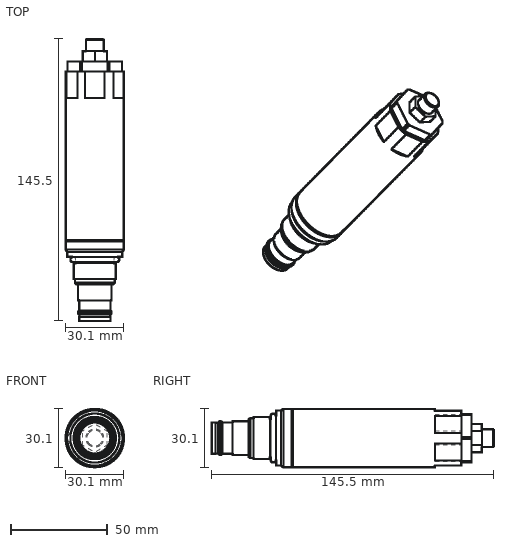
import cadquery as cq
import math

total_length = 145.5

barrel_radius = 15.06
barrel_start = 37.0
barrel_end = 128.8
barrel_groove_start = 41.0
barrel_groove_end = 41.9
barrel_groove_radius = 14.8

flats_start = 115.1
flats_across = 28.4
minus_x_flat_tilt = 33.8
flat_angles = [90, -90, 30, -30, 180 - minus_x_flat_tilt, minus_x_flat_tilt - 180]

collar_radius = 14.3
collar_start = 33.2
collar_end = 35.8

neck_radius = 10.9
neck_start = 21.7
shoulder_radius = 10.3
shoulder_start = 20.0
shoulder_cone_radius = 9.5
shoulder_cone_start = 18.9
shank_radius = 8.7
shank_start = 10.8
tip_radius = 8.2
tip_land_end = 2.0
tip_relief_radius = 8.0

bead_radius = 8.7
bead_start = 3.3
bead_crest_start = 4.2
bead_crest_end = 4.7
bead_end = 5.5

hex_sides = 6

cap_end = 134.0
cap_across_flats = 25.0
cap_corner_radius = 14.1

small_hex_end = 139.3
small_hex_across_flats = 12.7
connector_radius = 4.7
connector_chamfer = 0.6

ring_groove_radius = 9.9
ring_groove_start = 30.0
ring_section_radius = 1.38
ring_center_radius = ring_groove_radius + ring_section_radius
ring_center_y = collar_start - ring_section_radius


def cylinder(radius, start, end):
    """Solid cylinder on the Y axis from start to end."""
    return cq.Workplane("XZ", origin=(0, start, 0)).circle(radius).extrude(start - end)


def hexagon(across_flats, start, end, turn=0):
    """Hexagonal prism on the Y axis; with no turn, two flats face +Z and -Z."""
    corner_diameter = across_flats / math.cos(math.pi / hex_sides)
    prism = cq.Workplane("XZ", origin=(0, start, 0)).polygon(hex_sides, corner_diameter).extrude(start - end)
    return prism.rotate((0, 0, 0), (0, 1, 0), turn)


def make_turned_blank():
    """Stepped nose, collar and barrel revolved as one profile of radius and Y."""
    outline = [
        (0, 0),
        (tip_radius, 0),
        (tip_radius, tip_land_end),
        (tip_relief_radius, tip_land_end),
        (tip_relief_radius, bead_start),
        (bead_radius, bead_crest_start),
        (bead_radius, bead_crest_end),
        (tip_radius, bead_end),
        (tip_radius, shank_start),
        (shank_radius, shank_start),
        (shank_radius, shoulder_cone_start),
        (shoulder_cone_radius, shoulder_cone_start),
        (shoulder_radius, shoulder_start),
        (shoulder_radius, neck_start),
        (neck_radius, neck_start),
        (neck_radius, ring_groove_start),
        (ring_groove_radius, ring_groove_start),
        (ring_groove_radius, collar_start),
        (collar_radius, collar_start),
        (collar_radius, collar_end),
        (barrel_radius, barrel_start),
        (barrel_radius, barrel_groove_start),
        (barrel_groove_radius, barrel_groove_start),
        (barrel_groove_radius, barrel_groove_end),
        (barrel_radius, barrel_groove_end),
        (barrel_radius, barrel_end),
        (0, barrel_end),
    ]
    return cq.Workplane("XY").polyline(outline).close().revolve(360, (0, 0, 0), (0, 1, 0))


def make_flat_cutter(angle):
    """Block outside one wrench flat, whose outward normal is at the given angle."""
    width = 2 * barrel_radius
    length = barrel_end - flats_start
    block = cq.Workplane("XY").box(barrel_radius, length, width, centered=(False, False, True))
    return block.translate((flats_across / 2, flats_start, 0)).rotate((0, 0, 0), (0, 1, 0), -angle)


def make_end_cap():
    """Hexagonal cap with its corners turned down to a cylinder."""
    prism = hexagon(cap_across_flats, barrel_end, cap_end)
    return prism.intersect(cylinder(cap_corner_radius, barrel_end, cap_end))


def make_connector():
    """Small hexagon, turned so its corners point along Z, with a round chamfered plug."""
    small_hex = hexagon(small_hex_across_flats, cap_end, small_hex_end, turn=180 / hex_sides)
    plug = cylinder(connector_radius, small_hex_end, total_length)
    return small_hex.union(plug.faces(">Y").chamfer(connector_chamfer))


def make_seal_ring():
    """Round-section ring on the Y axis, resting on the groove floor and the collar face."""
    section = cq.Workplane("XY").center(ring_center_radius, ring_center_y).circle(ring_section_radius)
    return section.revolve(360, (-ring_center_radius, 0, 0), (-ring_center_radius, 1, 0))


def make_housing():
    """Housing in one piece: turned blank with wrench flats, end cap and connector."""
    body = make_turned_blank()
    for angle in flat_angles:
        body = body.cut(make_flat_cutter(angle))
    return body.union(make_end_cap()).union(make_connector()).solids()


housing = make_housing()
seal_ring = make_seal_ring()

result = cq.Compound.makeCompound([housing.val(), seal_ring.val()])